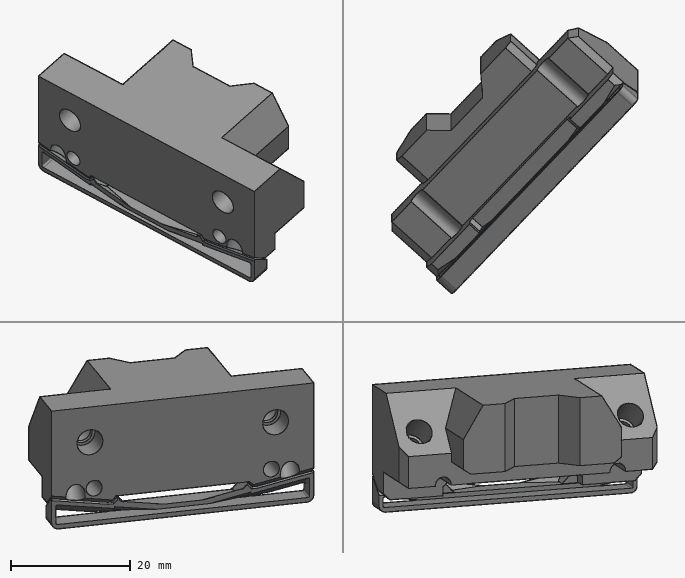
import cadquery as cq
import math

WIDTH = 45.8
DEPTH = 20.8
HEIGHT = 21.3
HALF_WIDTH = WIDTH / 2

PLATE_DEPTH = 5.7
PLATE_BOTTOM = 2.6
PLATE_EDGE_CHAMFER = 1.2
MIDDLE_BACK = 14.8
MIDDLE_BOTTOM = 6.55
BACK_CORNER_CHAMFER = 1.25
UNDER_CHAMFER_WIDTH = 1.3
UNDER_CHAMFER_HEIGHT = 0.9
BACK_SLOPE_START = 7.0
BACK_SLOPE_ANGLE = 50.0
TAIL_HALF_WIDTH = 14.0
TAIL_TOP_HALF_WIDTH = 10.55
TAIL_SHOULDER = 15.65
TAIL_BOTTOM = 9.6
NOTCH_OUTER_HALF = 6.65
NOTCH_INNER_HALF = 3.9
NOTCH_DEPTH = 3.0

SCREW_X = 16.2
SCREW_Z = 14.98
SCREW_BORE = 4.5
SCREW_BORE_DEPTH = 4.6
SCREW_PILOT = 3.5
SCREW_PILOT_DEPTH = 5.5
DRILL_POINT_ANGLE = 118.0
THROUGH_X = 15.5
THROUGH_Z = 6.65
THROUGH_DIAMETER = 2.8
SLANT_X = 18.75
SLANT_Y = 11.9
SLANT_BORE = 4.5
SLANT_BORE_DEPTH = 5.5
SLANT_DIAMETER = 3.4

SEAM_RISE = math.tan(math.radians(10))
SEAM_FALL = math.tan(math.radians(37.5))
BAR_FALL = math.tan(math.radians(35))
BLOCK_SEAM_END = 6.05
SLOT_TOP = 4.8
SLOT_TOP_HALF = 11.65
SLOT_FLARE = 0.75

FRAME_DEPTH = 3.45
FRAME_CORNER_RADIUS = 1.25
FRAME_WALL = 0.75
FRAME_FLOOR = 0.82
FRAME_SEAM_END = 5.2
BAR_TOP = 2.45
BAR_TOP_HALF = 3.25
BAR_UNDERSIDE = 1.65
BAR_UNDERSIDE_HALF = 4.65
UNDERSIDE_DEPTH = 2.4
UNDERSIDE_END = 4.4
UNDERSIDE_STEP = 11.9
RIDGE_X = 11.18
RIDGE_TOP = 4.35
RIDGE_INNER_FOOT = 10.5
RIDGE_OUTER_FOOT = 12.0
VALLEY_OUTER = 13.0
RIDGE_SHIFT = 0.3
RIDGE_LIFT = 0.1
LIP_RISE = 0.27
LIP_DEPTH = LIP_RISE * SEAM_FALL
WINDOW_RADIUS = 0.3


def box_between(x0, x1, y0, y1, z0, z1):
    return cq.Workplane("XY").box(x1 - x0, y1 - y0, z1 - z0, centered=False).translate((x0, y0, z0))


def swept(points, sweep, start=(0, 0, 0)):
    """Oblique prism: an XZ outline moved to `start`, then swept along the vector `sweep`."""
    wire = cq.Wire.makePolygon([cq.Vector(x, 0, z) + cq.Vector(*start) for x, z in points], close=True)
    return cq.Workplane(cq.Solid.extrudeLinear(wire, [], cq.Vector(*sweep)))


def mirrored(half_outline):
    """Complete a left-hand outline, running from the left end to the middle, with its mirror image."""
    return half_outline + [(-x, z) for x, z in reversed(half_outline)]


def make_middle():
    """Middle stage, including the part of the front plate above its underside."""
    half = [
        (-HALF_WIDTH + UNDER_CHAMFER_WIDTH, MIDDLE_BOTTOM),
        (-HALF_WIDTH, MIDDLE_BOTTOM + UNDER_CHAMFER_HEIGHT),
        (-HALF_WIDTH, HEIGHT),
    ]
    stage = swept(mirrored(half), (0, MIDDLE_BACK, 0))
    clipped_corners = box_between(-HALF_WIDTH, HALF_WIDTH, 0, MIDDLE_BACK, 0, HEIGHT)
    clipped_corners = clipped_corners.edges("|Z and >Y").chamfer(BACK_CORNER_CHAMFER)
    slope_drop = (MIDDLE_BACK - BACK_SLOPE_START) * math.tan(math.radians(BACK_SLOPE_ANGLE))
    above_slope = (
        cq.Workplane("YZ")
        .polyline([(BACK_SLOPE_START, HEIGHT), (MIDDLE_BACK, HEIGHT), (MIDDLE_BACK, HEIGHT - slope_drop)])
        .close()
        .extrude(HALF_WIDTH, both=True)
    )
    return stage.intersect(clipped_corners).cut(above_slope)


def make_tail():
    half = [
        (-TAIL_HALF_WIDTH + UNDER_CHAMFER_WIDTH, TAIL_BOTTOM),
        (-TAIL_HALF_WIDTH, TAIL_BOTTOM + UNDER_CHAMFER_HEIGHT),
        (-TAIL_HALF_WIDTH, TAIL_SHOULDER),
        (-TAIL_TOP_HALF_WIDTH, HEIGHT),
    ]
    tail = swept(mirrored(half), (0, DEPTH - PLATE_DEPTH, 0), (0, PLATE_DEPTH, 0))
    notch = (
        cq.Workplane("XY")
        .polyline([
            (-NOTCH_OUTER_HALF, DEPTH),
            (-NOTCH_INNER_HALF, DEPTH - NOTCH_DEPTH),
            (NOTCH_INNER_HALF, DEPTH - NOTCH_DEPTH),
            (NOTCH_OUTER_HALF, DEPTH),
        ])
        .close()
        .extrude(HEIGHT)
    )
    return tail.cut(notch)


def make_plate():
    plate = box_between(-HALF_WIDTH, HALF_WIDTH, 0, PLATE_DEPTH, PLATE_BOTTOM, HEIGHT)
    return plate.edges("|Y and <Z").chamfer(PLATE_EDGE_CHAMFER)


def seam_cut():
    """Space below the block's seam, sinking toward the back, and the straight slot in the middle."""
    middle = BLOCK_SEAM_END - SEAM_RISE * HALF_WIDTH
    over_end = BLOCK_SEAM_END + SEAM_RISE * HALF_WIDTH
    outline = [(-WIDTH, 0), (-WIDTH, over_end), (0, middle), (WIDTH, over_end), (WIDTH, 0)]
    fall = (0, PLATE_DEPTH, -SEAM_FALL * PLATE_DEPTH)
    seam = swept(outline, fall)
    foot = SLOT_TOP_HALF + SLOT_FLARE
    slot_half = [(-foot, 0), (-foot, SLOT_TOP - SLOT_FLARE), (-SLOT_TOP_HALF, SLOT_TOP)]
    slot = swept(mirrored(slot_half), (0, PLATE_DEPTH, 0))
    return seam.union(slot)


def screw_hole(x):
    point = SCREW_PILOT / 2 / math.tan(math.radians(DRILL_POINT_ANGLE / 2))
    return (
        cq.Workplane("XY")
        .polyline([
            (0, 0),
            (SCREW_BORE / 2, 0),
            (SCREW_BORE / 2, SCREW_BORE_DEPTH),
            (SCREW_PILOT / 2, SCREW_BORE_DEPTH),
            (SCREW_PILOT / 2, SCREW_PILOT_DEPTH),
            (0, SCREW_PILOT_DEPTH + point),
        ])
        .close()
        .revolve(360, (0, 0), (0, 1))
        .translate((x, 0, SCREW_Z))
    )


def through_hole(x):
    return cq.Workplane("XZ", origin=(x, 0, THROUGH_Z)).circle(THROUGH_DIAMETER / 2).extrude(-DEPTH)


def slanted_hole(x):
    """Counterbored hole square to the sloping back that comes out at the front."""
    angle = math.radians(BACK_SLOPE_ANGLE)
    start = cq.Vector(x, SLANT_Y, HEIGHT - (SLANT_Y - BACK_SLOPE_START) * math.tan(angle))
    inward = cq.Vector(0, -math.sin(angle), -math.cos(angle))
    bore_start = start - inward * SLANT_BORE
    bore = cq.Solid.makeCylinder(SLANT_BORE / 2, SLANT_BORE + SLANT_BORE_DEPTH, bore_start, inward)
    hole = cq.Solid.makeCylinder(SLANT_DIAMETER / 2, DEPTH, start, inward)
    return cq.Workplane(bore).union(cq.Workplane(hole))


def make_block():
    block = make_plate().union(make_middle()).union(make_tail()).cut(seam_cut())
    for side in (-1, 1):
        block = block.cut(screw_hole(side * SCREW_X))
        block = block.cut(through_hole(side * THROUGH_X))
        block = block.cut(slanted_hole(side * SLANT_X))
    return block


def frame_bar():
    """Flat top bar with slopes that climb to the ridges and fall toward the back."""
    inner_foot = BAR_TOP + SEAM_RISE * (RIDGE_INNER_FOOT - BAR_TOP_HALF)
    climb = [
        (-RIDGE_X, 0),
        (-RIDGE_X, inner_foot),
        (-RIDGE_INNER_FOOT, inner_foot),
        (-BAR_TOP_HALF, BAR_TOP),
    ]
    slopes = swept(mirrored(climb), (0, FRAME_DEPTH, -BAR_FALL * FRAME_DEPTH))
    return slopes.union(box_between(-HALF_WIDTH, HALF_WIDTH, 0, FRAME_DEPTH, 0, BAR_TOP))


def frame_seat(side):
    """Sloping seat below the block's seam at one end, with a short lip rising behind the front face."""
    valley = FRAME_SEAM_END - SEAM_RISE * (HALF_WIDTH - VALLEY_OUTER)
    half = [
        (HALF_WIDTH, 0),
        (HALF_WIDTH, FRAME_SEAM_END),
        (VALLEY_OUTER, valley),
        (RIDGE_X, valley),
        (RIDGE_X, 0),
    ]
    outline = [(side * x, z) for x, z in half]
    rest = FRAME_DEPTH - LIP_DEPTH
    lip_top = (0, LIP_DEPTH, LIP_RISE)
    return swept(outline, lip_top).union(swept(outline, (0, rest, -SEAM_FALL * rest), lip_top))


def frame_ridge(side):
    """Ridge that stands in the block's slot; it grows across the lip, then runs straight back."""
    outer_foot = RIDGE_TOP - (RIDGE_OUTER_FOOT - RIDGE_X)
    half = [
        (RIDGE_OUTER_FOOT, BAR_TOP),
        (RIDGE_OUTER_FOOT, outer_foot),
        (RIDGE_X, RIDGE_TOP),
        (RIDGE_X - (RIDGE_TOP - BAR_TOP), BAR_TOP),
    ]
    outline = [(side * x, z) for x, z in half]
    growth = (side * RIDGE_SHIFT, LIP_DEPTH, RIDGE_LIFT)
    return swept(outline, growth).union(swept(outline, (0, FRAME_DEPTH - LIP_DEPTH, 0), growth))


def frame_body():
    """Solid below the frame's top surface, before its window is cut."""
    outer = box_between(-HALF_WIDTH, HALF_WIDTH, 0, FRAME_DEPTH, 0, HEIGHT)
    outer = outer.edges("|Y and <Z").fillet(FRAME_CORNER_RADIUS)
    top = frame_bar()
    for side in (-1, 1):
        top = top.union(frame_seat(side)).union(frame_ridge(side))
    return outer.intersect(top)


def frame_window():
    wall = HALF_WIDTH - FRAME_WALL
    roof = mirrored([
        (-wall, 0),
        (-wall, UNDERSIDE_END),
        (-UNDERSIDE_STEP, UNDERSIDE_END - SEAM_RISE * (wall - UNDERSIDE_STEP)),
        (-UNDERSIDE_STEP, BAR_UNDERSIDE + SEAM_RISE * (UNDERSIDE_STEP - BAR_UNDERSIDE_HALF)),
        (-BAR_UNDERSIDE_HALF, BAR_UNDERSIDE),
    ])
    drop = UNDERSIDE_DEPTH * BAR_FALL
    falling = swept(roof, (0, UNDERSIDE_DEPTH, -drop))
    straight = swept(roof, (0, FRAME_DEPTH - UNDERSIDE_DEPTH, 0), (0, UNDERSIDE_DEPTH, -drop))
    middle = box_between(-wall, wall, 0, FRAME_DEPTH, 0, BAR_UNDERSIDE)
    below_floor = box_between(-HALF_WIDTH, HALF_WIDTH, 0, FRAME_DEPTH, -HEIGHT, FRAME_FLOOR)
    window = falling.union(straight).union(middle).cut(below_floor)
    return window.faces("<X or >X").edges("not(#Y)").fillet(WINDOW_RADIUS)


def make_frame():
    return frame_body().cut(frame_window())


block = make_block()
frame = make_frame()
result = cq.Compound.makeCompound([block.val(), frame.val()])